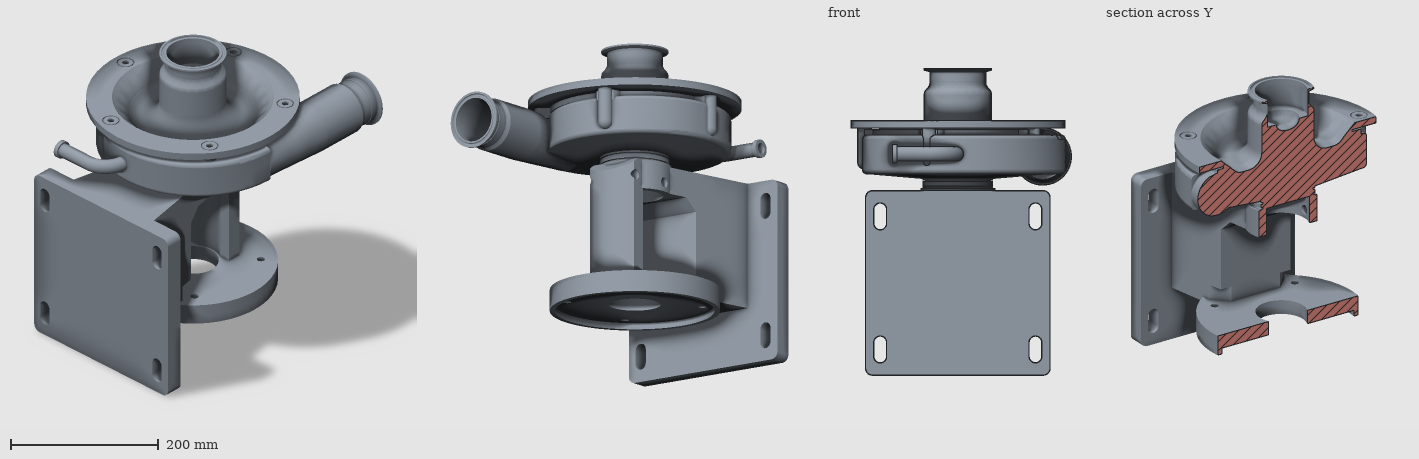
import math

import cadquery as cq


flange_radius = 144.7
flange_top = 94.5
flange_thickness = 10.0
flange_bottom = flange_top - flange_thickness
dish_rim_radius = 109.5
dish_rim_chamfer = 2.5
dish_wall_foot_radius = 87.0
dish_corner_radius = 76.5
dish_floor_z = 69.0
dish_wall_foot_z = 73.0

spout_radius = 45.6
spout_root_fillet = 19.9
spout_cone_bottom = 129.8
spout_cone_top = 145.4
spout_neck_radius = 37.8
spout_bore_radius = 36.0
spout_top = 165.0
spout_ledge_z = 125.0
bowl_radius = 24.0
bowl_floor_radius = 10.0
bowl_depth = bowl_radius - bowl_floor_radius

ferrule_lip = 2.2
ferrule_taper = 2.2
gasket_groove_width = 3.4
gasket_groove_inset = 4.5

casing_top = 75.0
casing_edge_fillet = 6.0
volute_reach_minus_x = 129.0
volute_reach_plus_x = 145.4
volute_rear_radius = 122.0
hub_radius = 48.5
hub_bottom = 16.4
casing_bottom = 22.5
underside_radius = 119.0

seat_radius = 116.0
seat_top = 82.5
seat_neck_radius = 106.0
pad_inner_radius = 110.0
pad_outer_radius = 126.0
pad_inner_half_width = 20.0
pad_outer_half_width = 12.0

neck_radius = 47.0
neck_groove_radius = 44.0
neck_groove_bottom = 12.0
neck_groove_top = 14.0
neck_collar_bottom = 6.4

stud_count = 5
stud_circle_radius = 126.0
stud_radius = 9.5
stud_bottom = 29.0
stud_tip_fillet = 9.0
screw_head_radius = 10.2
screw_recess_radius = 12.0
screw_recess_depth = 2.0
socket_across_corners = 10.5
socket_depth = 6.0

outlet_x = 115.0
outlet_z = 46.0
outlet_end = 211.0
outlet_body_radius = 36.0
outlet_root_radius = 31.0
outlet_straight_start = 106.0
outlet_shoulder_start = 175.5
outlet_shoulder_end = 181.5
outlet_neck_radius = 32.7
outlet_bead_start = 195.5
outlet_bead_length = 2.0
outlet_bead_height = 0.7
outlet_ferrule_radius = 38.7
outlet_bore_radius = 30.0

drain_radius = 9.8
drain_bore_radius = 7.5
drain_z = 49.5
drain_y = -167.5
drain_end_x = -88.5
drain_elbow_start_x = -35.0
drain_elbow_radius = 33.0
drain_inner_y = -120.0
drain_bore_end_y = -130.0
drain_ferrule_radius = 12.5
drain_ferrule_length = 6.0

plate_size = 250.0
plate_thickness = 25.0
plate_front_y = -180.0
plate_back_y = plate_front_y + plate_thickness
plate_corner_radius = 10.0
slot_width = 17.0
slot_length = 36.0
slot_pitch_x = 210.0
slot_pitch_z = 180.0

head_radius = 50.0
head_top = 3.0
head_bottom = -36.8
head_bore_radius = 38.0
cross_hole_radius = 7.0
cross_hole_z = -24.3

motor_flange_radius = 115.3
motor_flange_top = -166.6
motor_flange_thickness = 29.2
motor_bore_radius = 35.0
motor_hole_offset = 65.0
motor_hole_radius = 5.5
motor_pilot_radius = 108.0
motor_pilot_depth = 8.6
bolt_clearance_depth = 21.3
bolt_clearance_height = 22.5

web_plate_half_width = 75.0
web_side_slope = 0.2
web_inner_y = -62.7
web_chamfer = 17.5
web_bottom = -173.0

arm_outer_radius = 64.0
arm_half_width = 37.0
arm_inner_y = 31.6
arm_chamfer_drop = 15.0
arm_chamfer_run = 20.0
arm_hole_radius = 7.0
arm_hole_y = 47.6
arm_hole_z = -20.3


def cylinder(radius, bottom, top, x=0.0, y=0.0):
    """Vertical cylinder between two heights."""
    return cq.Workplane("XY", origin=(x, y, bottom)).circle(radius).extrude(top - bottom)


def half_drum(radius, centre_x, side_sign):
    """Half of a drum with rounded edges, on the +Y (1) or -Y (-1) side of the pump axis."""
    drum = cylinder(radius, casing_bottom, casing_top, centre_x).edges().fillet(casing_edge_fillet)
    height = casing_top - casing_bottom
    half_space = cq.Workplane("XY", origin=(centre_x, side_sign * radius / 2, casing_bottom))
    return drum.intersect(half_space.rect(2 * radius, radius).extrude(height))


def volute_casing():
    """Volute casing of two half drums with a shallow conical underside."""
    front_radius = (volute_reach_minus_x + volute_reach_plus_x) / 2
    front_half = half_drum(front_radius, volute_reach_plus_x - front_radius, -1)
    rear_half = half_drum(volute_rear_radius, volute_rear_radius - volute_reach_minus_x, 1)
    underside = (
        cq.Workplane("XZ")
        .moveTo(0, hub_bottom)
        .lineTo(hub_radius, hub_bottom)
        .lineTo(underside_radius, casing_bottom)
        .lineTo(0, casing_bottom)
        .close()
        .revolve(360, (0, 0, 0), (0, 1, 0))
    )
    return front_half.union(rear_half).union(underside)


def casing_seat():
    """Two steps that carry the flange above the casing."""
    seat = cylinder(seat_radius, casing_top, seat_top)
    return seat.union(cylinder(seat_neck_radius, seat_top, flange_bottom))


def stud_pads():
    """Tapered pads that widen the seat at each stud."""
    pads = cq.Workplane("XY")
    for x, y in stud_points():
        pad = (
            cq.Workplane("XY", origin=(0, 0, casing_top - casing_edge_fillet))
            .moveTo(pad_inner_radius, -pad_inner_half_width)
            .lineTo(pad_outer_radius, -pad_outer_half_width)
            .lineTo(pad_outer_radius, pad_outer_half_width)
            .lineTo(pad_inner_radius, pad_inner_half_width)
            .close()
            .extrude(seat_top - casing_top + casing_edge_fillet)
        )
        pads = pads.union(pad.rotate((0, 0, 0), (0, 0, 1), math.degrees(math.atan2(y, x))))
    return pads


def casing_neck():
    """Grooved neck and collar below the casing."""
    neck = cylinder(neck_radius, head_top, hub_bottom)
    neck = neck.union(cylinder(hub_radius, hub_bottom, casing_bottom))
    collar_gap = (neck_collar_bottom - head_top) / 2
    for bottom, top in (
        (neck_groove_bottom, neck_groove_top),
        (head_top + collar_gap, neck_collar_bottom),
    ):
        groove = cylinder(hub_radius, bottom, top).cut(cylinder(neck_groove_radius, bottom, top))
        neck = neck.cut(groove)
    return neck


def stud_points():
    """Stud centres, the first one on the -X side."""
    return [
        (
            stud_circle_radius * math.cos(math.pi + 2 * math.pi * i / stud_count),
            stud_circle_radius * math.sin(math.pi + 2 * math.pi * i / stud_count),
        )
        for i in range(stud_count)
    ]


def studs():
    """Posts with rounded tips hanging below the flange."""
    posts = cq.Workplane("XY", origin=(0, 0, stud_bottom)).pushPoints(stud_points())
    posts = posts.circle(stud_radius).extrude(flange_bottom - stud_bottom)
    return posts.faces("<Z").edges().fillet(stud_tip_fillet)


def screw_recesses():
    """Ring-shaped gap around each screw head, and its hexagon socket."""
    top = cq.Workplane("XY", origin=(0, 0, flange_top)).pushPoints(stud_points())
    rings = top.circle(screw_recess_radius).circle(screw_head_radius).extrude(-screw_recess_depth)
    sockets = top.polygon(6, socket_across_corners).extrude(-socket_depth)
    return rings.union(sockets)


def dish():
    """Sunken ring in the flange, flaring up into the spout."""
    floor_edge = spout_radius + spout_root_fillet
    flare_mid = spout_root_fillet * (1 - math.sqrt(0.5))
    profile = (
        cq.Workplane("XZ")
        .moveTo(spout_radius, flange_top)
        .lineTo(spout_radius, dish_floor_z + spout_root_fillet)
        .threePointArc(
            (spout_radius + flare_mid, dish_floor_z + flare_mid),
            (floor_edge, dish_floor_z),
        )
        .lineTo(dish_corner_radius, dish_floor_z)
        .tangentArcPoint((dish_wall_foot_radius, dish_wall_foot_z), relative=False)
        .lineTo(dish_rim_radius - dish_rim_chamfer, flange_top - dish_rim_chamfer)
        .lineTo(dish_rim_radius, flange_top)
        .close()
    )
    return profile.revolve(360, (0, 0, 0), (0, 1, 0))


def spout():
    """Suction spout with an S-shaped reducer and a clamp ferrule."""
    lip_bottom = spout_top - ferrule_lip
    profile = (
        cq.Workplane("XZ")
        .moveTo(0, dish_floor_z)
        .lineTo(spout_radius, dish_floor_z)
        .lineTo(spout_radius, spout_cone_bottom)
        .spline(
            [(spout_neck_radius, spout_cone_top)],
            tangents=[(0, 1), (0, 1)],
            includeCurrent=True,
        )
        .lineTo(spout_neck_radius, lip_bottom - ferrule_taper)
        .lineTo(spout_radius, lip_bottom)
        .lineTo(spout_radius, spout_top)
        .lineTo(0, spout_top)
        .close()
    )
    return profile.revolve(360, (0, 0, 0), (0, 1, 0))


def spout_bore():
    """Suction bore with a ledge and a bowl-shaped bottom."""
    bend = bowl_depth * math.sqrt(0.5)
    profile = (
        cq.Workplane("XZ")
        .moveTo(0, spout_top)
        .lineTo(spout_bore_radius, spout_top)
        .lineTo(spout_bore_radius, spout_ledge_z)
        .lineTo(bowl_radius, spout_ledge_z)
        .threePointArc(
            (bowl_floor_radius + bend, spout_ledge_z - bend),
            (bowl_floor_radius, spout_ledge_z - bowl_depth),
        )
        .lineTo(0, spout_ledge_z - bowl_depth)
        .close()
    )
    return profile.revolve(360, (0, 0, 0), (0, 1, 0))


def outlet():
    """Outlet pipe: tapered root, straight body, beaded neck and ferrule."""
    lip_start = outlet_end - ferrule_lip
    bead_radius = outlet_neck_radius + outlet_bead_height
    profile = (
        cq.Workplane("XY", origin=(outlet_x, 0, outlet_z))
        .lineTo(outlet_root_radius, 0)
        .lineTo(outlet_body_radius, outlet_straight_start)
        .lineTo(outlet_body_radius, outlet_shoulder_start)
        .lineTo(outlet_neck_radius, outlet_shoulder_end)
        .lineTo(outlet_neck_radius, outlet_bead_start)
        .lineTo(bead_radius, outlet_bead_start)
        .lineTo(bead_radius, outlet_bead_start + outlet_bead_length)
        .lineTo(outlet_neck_radius, outlet_bead_start + outlet_bead_length)
        .lineTo(outlet_neck_radius, lip_start - ferrule_taper)
        .lineTo(outlet_ferrule_radius, lip_start)
        .lineTo(outlet_ferrule_radius, outlet_end)
        .lineTo(0, outlet_end)
        .close()
    )
    return profile.revolve(360, (0, 0, 0), (0, 1, 0))


def outlet_bore():
    """Bore along the straight part of the outlet."""
    bore = cq.Workplane("XZ", origin=(outlet_x, outlet_straight_start, outlet_z))
    return bore.circle(outlet_bore_radius).extrude(outlet_straight_start - outlet_end)


def drain_start():
    """Plane across the open end of the drain pipe."""
    return cq.Workplane("YZ", origin=(drain_end_x, drain_y, drain_z))


def drain_path(end_y):
    """Centre line of the drain pipe, ending at the given Y."""
    elbow_end_x = drain_elbow_start_x + drain_elbow_radius
    return (
        cq.Workplane("XY", origin=(0, 0, drain_z))
        .moveTo(drain_end_x, drain_y)
        .lineTo(drain_elbow_start_x, drain_y)
        .tangentArcPoint((elbow_end_x, drain_y + drain_elbow_radius), relative=False)
        .lineTo(elbow_end_x, end_y)
    )


def drain():
    """Drain pipe along X that bends into the casing."""
    pipe = drain_start().circle(drain_radius).sweep(drain_path(drain_inner_y))
    return pipe.union(drain_start().circle(drain_ferrule_radius).extrude(drain_ferrule_length))


def drain_bore():
    """Bore that follows the drain pipe into the casing wall."""
    return drain_start().circle(drain_bore_radius).sweep(drain_path(drain_bore_end_y))


def gasket_groove(ferrule_radius):
    """Ring of round section, centred on the origin, that cuts a gasket groove."""
    groove_radius = gasket_groove_width / 2
    return cq.Workplane(cq.Solid.makeTorus(ferrule_radius - gasket_groove_inset, groove_radius))


def mounting_plate():
    """Square plate with four upright slots."""
    centre_z = -plate_size / 2
    plate = cq.Workplane("XZ", origin=(0, plate_back_y, centre_z)).rect(plate_size, plate_size)
    plate = plate.extrude(plate_thickness).edges("|Y").fillet(plate_corner_radius)
    slots = (
        cq.Workplane("XZ", origin=(0, plate_back_y, centre_z))
        .rarray(slot_pitch_x, slot_pitch_z, 2, 2)
        .slot2D(slot_length, slot_width, 90)
        .extrude(plate_thickness)
    )
    return plate.cut(slots)


def web():
    """Tapered web from the plate to the bearing head and motor flange."""
    side = (
        cq.Workplane("YZ")
        .moveTo(plate_back_y, 0)
        .lineTo(0, 0)
        .lineTo(0, head_bottom)
        .lineTo(web_inner_y + web_chamfer, head_bottom)
        .lineTo(web_inner_y, head_bottom - web_chamfer)
        .lineTo(web_inner_y, web_bottom)
        .lineTo(plate_back_y, web_bottom)
        .close()
        .extrude(web_plate_half_width, both=True)
    )
    head_half_width = web_plate_half_width + web_side_slope * plate_back_y
    plan = (
        cq.Workplane("XY", origin=(0, 0, web_bottom))
        .moveTo(-web_plate_half_width, plate_back_y)
        .lineTo(web_plate_half_width, plate_back_y)
        .lineTo(head_half_width, 0)
        .lineTo(-head_half_width, 0)
        .close()
        .extrude(-web_bottom)
    )
    clearance_end_y = web_inner_y - bolt_clearance_depth
    clearance_half_width = web_plate_half_width + web_side_slope * (plate_back_y - clearance_end_y)
    for side_sign in (-1, 1):
        clearance = (
            cq.Workplane("XY", origin=(0, 0, motor_flange_top))
            .moveTo(side_sign * clearance_half_width, clearance_end_y)
            .lineTo(side_sign * (clearance_half_width - bolt_clearance_depth), web_inner_y)
            .lineTo(side_sign * web_plate_half_width, web_inner_y)
            .close()
            .extrude(bolt_clearance_height)
        )
        side = side.cut(clearance)
    return side.intersect(plan)


def arm():
    """Rear arm that ties the bearing head to the motor flange."""
    column = cylinder(arm_outer_radius, motor_flange_top, head_top)
    depth = arm_outer_radius - arm_inner_y
    block = cq.Workplane("XY", origin=(0, arm_inner_y + depth / 2, motor_flange_top))
    block = block.rect(2 * arm_half_width, depth).extrude(head_top - motor_flange_top)
    corner = (
        cq.Workplane("YZ")
        .moveTo(arm_outer_radius, head_top)
        .lineTo(arm_outer_radius - arm_chamfer_run, head_top)
        .lineTo(arm_outer_radius, head_top - arm_chamfer_drop)
        .close()
        .extrude(arm_half_width, both=True)
    )
    return column.intersect(block).cut(corner)


def motor_flange():
    """Round flange for the motor, with a centre bore and a pilot recess below."""
    bottom = motor_flange_top - motor_flange_thickness
    disc = cylinder(motor_flange_radius, bottom, motor_flange_top)
    disc = disc.cut(cylinder(motor_bore_radius, bottom, motor_flange_top))
    return disc.cut(cylinder(motor_pilot_radius, bottom, bottom + motor_pilot_depth))


def motor_holes():
    """Bolt holes through the motor flange."""
    holes = cq.Workplane("XY", origin=(0, 0, motor_flange_top))
    holes = holes.rarray(2 * motor_hole_offset, 2 * motor_hole_offset, 2, 2).circle(motor_hole_radius)
    return holes.extrude(-motor_flange_thickness)


def bracket():
    """Plate, web, bearing head, arm and motor flange as one casting, with its cross holes."""
    body = mounting_plate().union(web()).union(cylinder(head_radius, head_bottom, head_top)).union(arm())
    body = body.cut(cylinder(head_bore_radius, motor_flange_top, head_top))
    cross_hole = cq.Workplane("YZ", origin=(-head_radius, 0, cross_hole_z)).circle(cross_hole_radius)
    body = body.cut(cross_hole.extrude(head_radius))
    arm_hole = cq.Workplane("YZ").center(arm_hole_y, arm_hole_z).circle(arm_hole_radius)
    body = body.cut(arm_hole.extrude(head_radius, both=True))
    return body.union(motor_flange()).cut(motor_holes())


pump = volute_casing().union(casing_seat()).union(stud_pads()).union(casing_neck()).union(studs())
pump = pump.union(cylinder(flange_radius, flange_bottom, flange_top)).union(outlet()).union(drain())
pump = pump.cut(dish()).union(spout())
spout_groove = gasket_groove(spout_radius).translate((0, 0, spout_top))
outlet_groove = gasket_groove(outlet_ferrule_radius).rotate((0, 0, 0), (1, 0, 0), 90)
outlet_groove = outlet_groove.translate((outlet_x, outlet_end, outlet_z))
pump = pump.cut(spout_groove).cut(outlet_groove)
for cavity in (spout_bore(), outlet_bore(), drain_bore(), screw_recesses()):
    pump = pump.cut(cavity)

result = pump.union(bracket())